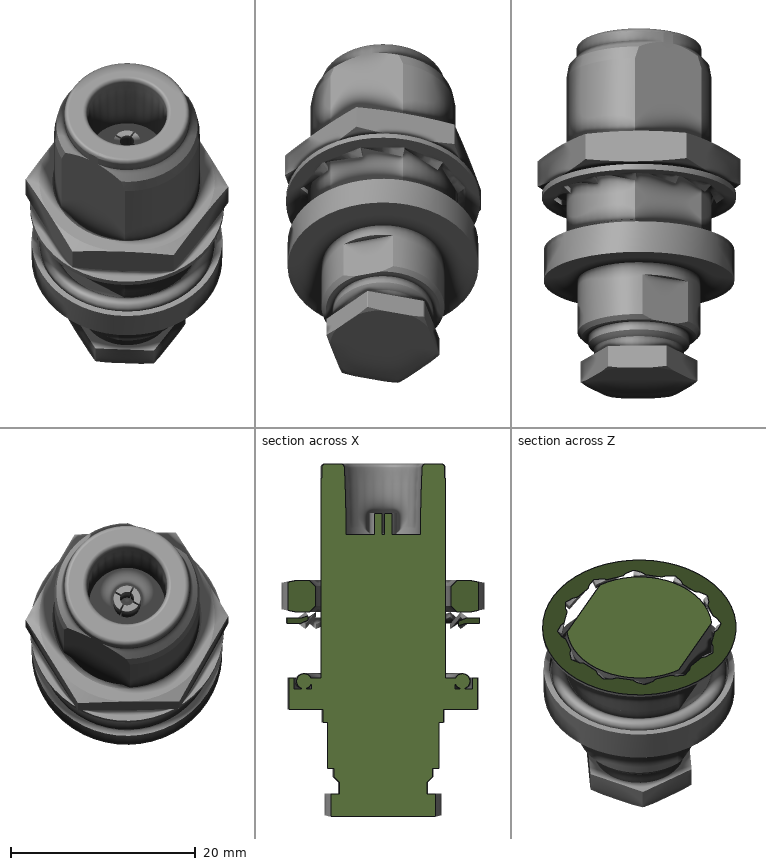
import cadquery as cq
import math


total_height = 38.22

gland_hex_flats = 10.97
gland_hex_height = 2.5
gland_corner_radius = 6.3
gland_chamfer_radius = 5.75
gland_chamfer_height = 0.15
neck_radius = 4.9
neck_top = 3.75
collar_radius = 5.45
collar_cone_top = neck_top + collar_radius - neck_radius

rear_radius = 6.65
rear_bottom = 5.25
rear_chamfer = 0.45
rear_flat_offset = 6.05
rear_flat_top = 10.2

flange_radius = 10.32
flange_bottom = 11.58
flange_top = 15.05
ring_section_radius = 0.85
ring_center_radius = 8.65
ring_center_z = 14.68
ring_squeeze = 0.05
groove_outer_radius = 9.7

thread_radius = 7.87
thread_bottom = 16.1
relief_radius = 7.85
thread_top = 34.4
lead_radius = 7.65
lead_top = 35.77
thread_flat_width = 8.15
thread_flat_offset = math.sqrt(thread_radius**2 - (thread_flat_width / 2) ** 2)

rim_radius = 6.75
rim_bottom = 36.73
rim_round = 0.45
bore_mouth_radius = 4.3
bore_floor_radius = 4.13
bore_floor = 30.58

contact_radius = 1.45
contact_hole_radius = 0.75
contact_top = 32.87
contact_slot_width = 0.2

nut_flats = 19.0
nut_corner_radius = nut_flats / math.sqrt(3)
nut_bottom = 22.13
nut_height = 3.48
nut_chamfer_height = 0.3
nut_bore_radius = 7.4
nut_bore_chamfer = 0.65

washer_diameter = 21.0
washer_radius = washer_diameter / 2
washer_thickness = 0.6
washer_bottom = 20.9
washer_middle = washer_bottom + washer_thickness / 2
tooth_count = 12
tooth_angle = 360 / tooth_count
tooth_root = 8.9
tooth_tip = 8.1
tooth_thickness = 0.55
tooth_rise = 0.65


def revolved(profile):
    """Solid of revolution about Z from (radius, z) corner points."""
    return cq.Workplane("XZ").polyline(profile).close().revolve(360, (0, 0), (0, 1))


def hex_prism(across_flats, bottom, height):
    """Hexagonal prism with corners on the Y axis."""
    corner_diameter = 2 * across_flats / math.sqrt(3)
    prism = cq.Workplane("XY").polygon(6, corner_diameter).extrude(height)
    return prism.rotate((0, 0, 0), (0, 0, 1), 30).translate((0, 0, bottom))


def flats_slab(offset, bottom, top):
    """Slab between two planes at Y = +offset and Y = -offset."""
    width = 2 * washer_radius
    slab = cq.Workplane("XY").box(width, 2 * offset, top - bottom, centered=(True, True, False))
    return slab.translate((0, 0, bottom))


def make_gland():
    """Clamp hex with turned corners and a bottom chamfer, then neck and collar."""
    corner_limit = revolved([
        (0, 0),
        (gland_chamfer_radius, 0),
        (gland_corner_radius, gland_chamfer_height),
        (gland_corner_radius, gland_hex_height),
        (0, gland_hex_height),
    ])
    hexagon = hex_prism(gland_hex_flats, 0, gland_hex_height).intersect(corner_limit)
    stem = revolved([
        (0, gland_hex_height),
        (neck_radius, gland_hex_height),
        (neck_radius, neck_top),
        (collar_radius, collar_cone_top),
        (collar_radius, rear_bottom),
        (0, rear_bottom),
    ])
    return hexagon.union(stem)


def make_rear_barrel():
    """Chamfered barrel with a pair of wrench flats at its lower end."""
    barrel = revolved([
        (0, rear_bottom),
        (rear_radius - rear_chamfer, rear_bottom),
        (rear_radius, rear_bottom + rear_chamfer),
        (rear_radius, flange_bottom),
        (0, flange_bottom),
    ])
    flatted = barrel.intersect(flats_slab(rear_flat_offset, rear_bottom, rear_flat_top))
    plain = barrel.intersect(flats_slab(rear_radius, rear_flat_top, flange_bottom))
    return flatted.union(plain)


def make_flange():
    """Flange with a face groove and the O-ring pressed into it."""
    groove_floor = ring_center_z - ring_section_radius + ring_squeeze
    flange = revolved([
        (0, flange_bottom),
        (flange_radius, flange_bottom),
        (flange_radius, flange_top),
        (groove_outer_radius, flange_top),
        (groove_outer_radius, groove_floor),
        (thread_radius, groove_floor),
        (thread_radius, flange_top),
        (0, flange_top),
    ])
    ring = (
        cq.Workplane("XZ")
        .center(ring_center_radius, ring_center_z)
        .circle(ring_section_radius)
        .revolve(360, (-ring_center_radius, 0), (-ring_center_radius, 1))
    )
    return flange.union(ring)


def make_threaded_barrel():
    """Outer form of the threaded barrel, rim included, with its two flats."""
    barrel = revolved([
        (0, flange_top),
        (relief_radius, flange_top),
        (relief_radius, thread_bottom),
        (thread_radius, thread_bottom),
        (thread_radius, thread_top),
        (lead_radius, lead_top),
        (rim_radius, rim_bottom),
        (rim_radius, total_height),
        (0, total_height),
    ])
    barrel = barrel.faces(">Z").edges().fillet(rim_round)
    return barrel.intersect(flats_slab(thread_flat_offset, flange_top, total_height))


def make_socket_bore():
    """Slightly tapered blind bore with a rounded mouth, as a cutting tool."""
    mouth_edge_radius = bore_mouth_radius + rim_round
    arc_inset = rim_round * (1 - math.sqrt(0.5))
    return (
        cq.Workplane("XZ")
        .moveTo(0, bore_floor)
        .lineTo(bore_floor_radius, bore_floor)
        .lineTo(bore_mouth_radius, total_height - rim_round)
        .threePointArc(
            (bore_mouth_radius + arc_inset, total_height - arc_inset),
            (mouth_edge_radius, total_height),
        )
        .lineTo(0, total_height)
        .close()
        .revolve(360, (0, 0), (0, 1))
    )


def make_contact():
    """Hollow centre contact split by two crossed slots."""
    height = contact_top - bore_floor
    contact = (
        cq.Workplane("XY", origin=(0, 0, bore_floor))
        .circle(contact_radius)
        .circle(contact_hole_radius)
        .extrude(height)
    )
    for angle in (0, 90):
        slot = (
            cq.Workplane("XY", origin=(0, 0, bore_floor))
            .rect(3 * contact_radius, contact_slot_width)
            .extrude(height)
        )
        contact = contact.cut(slot.rotate((0, 0, 0), (0, 0, 1), angle))
    return contact


def make_connector():
    """Connector body: clamp end, rear barrel, flange, threaded barrel and socket."""
    connector = make_gland().union(make_rear_barrel()).union(make_flange())
    connector = connector.union(make_threaded_barrel())
    return connector.cut(make_socket_bore()).union(make_contact())


def make_nut():
    """Hex nut, chamfered on both faces; its bore fits around the flatted thread."""
    nut_top = nut_bottom + nut_height
    face_radius = nut_flats / 2
    corner_limit = revolved([
        (0, nut_bottom),
        (face_radius, nut_bottom),
        (nut_corner_radius, nut_bottom + nut_chamfer_height),
        (nut_corner_radius, nut_top - nut_chamfer_height),
        (face_radius, nut_top),
        (0, nut_top),
    ])
    bore = revolved([
        (0, nut_bottom),
        (nut_bore_radius + nut_bore_chamfer, nut_bottom),
        (nut_bore_radius, nut_bottom + nut_bore_chamfer),
        (nut_bore_radius, nut_top - nut_bore_chamfer),
        (nut_bore_radius + nut_bore_chamfer, nut_top),
        (0, nut_top),
    ])
    nut = hex_prism(nut_flats, nut_bottom, nut_height).intersect(corner_limit)
    return nut.cut(bore).cut(make_threaded_barrel())


def make_tooth():
    """Twisted tooth pointing inwards along +X: flat at its root, tilted at its tip."""
    half_angle = math.radians(tooth_angle / 2)
    root_half = tooth_root * math.tan(half_angle)
    tip_half = tooth_tip * math.tan(half_angle)
    root_edge = washer_thickness / 2
    tip_edge = tooth_thickness / 2
    root_corners = [
        (-root_half, -root_edge),
        (root_half, -root_edge),
        (root_half, root_edge),
        (-root_half, root_edge),
    ]
    tip_corners = [
        (-tip_half, tooth_rise - tip_edge),
        (tip_half, -tooth_rise - tip_edge),
        (tip_half, -tooth_rise + tip_edge),
        (-tip_half, tooth_rise + tip_edge),
    ]
    return (
        cq.Workplane("YZ", origin=(tooth_tip, 0, washer_middle))
        .polyline(tip_corners)
        .close()
        .workplane(offset=tooth_root - tooth_tip)
        .polyline(root_corners)
        .close()
        .loft(ruled=True)
    )


def make_washer():
    """Flat ring whose twelve-sided opening carries the ring of twisted teeth."""
    opening_diameter = 2 * tooth_root / math.cos(math.radians(tooth_angle / 2))
    opening = cq.Workplane("XY").polygon(tooth_count, opening_diameter).extrude(washer_thickness)
    ring = cq.Workplane("XY").circle(washer_radius).extrude(washer_thickness).cut(opening)
    washer = ring.translate((0, 0, washer_bottom))
    tooth = make_tooth()
    for index in range(tooth_count):
        angle = (index + 0.5) * tooth_angle
        washer = washer.union(tooth.rotate((0, 0, 0), (0, 0, 1), angle))
    return washer


connector = make_connector()
nut = make_nut()
washer = make_washer()

result = cq.Compound.makeCompound([connector.val(), nut.val(), washer.val()])